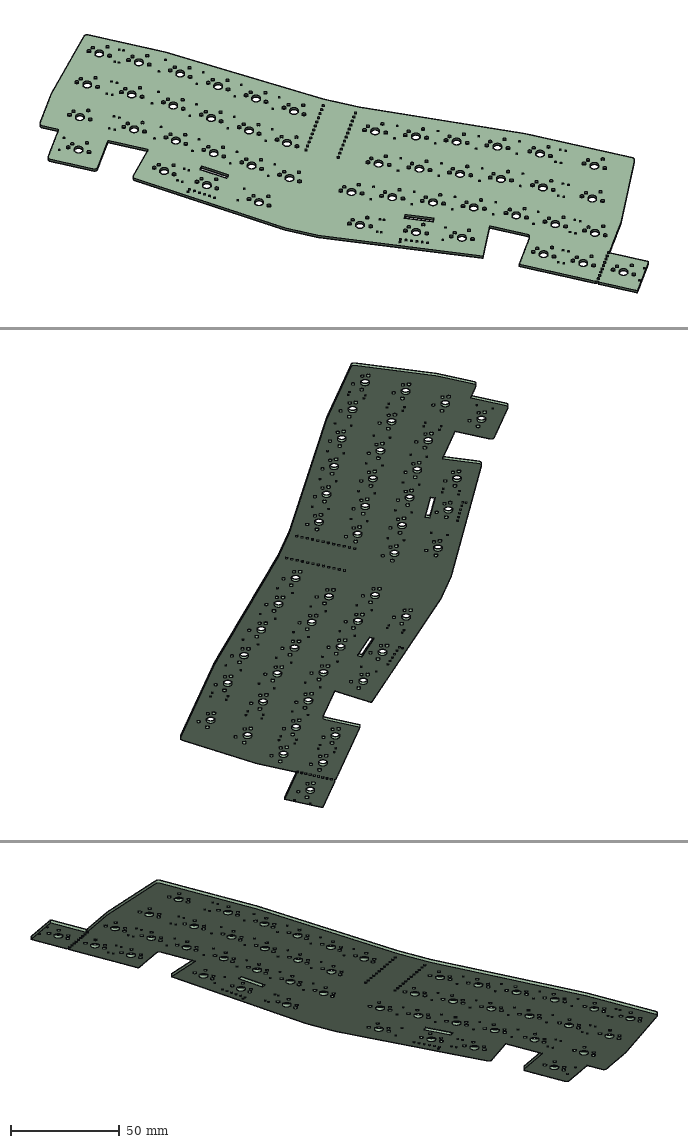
import cadquery as cq
import math

thickness = 1.6
half_length = 146.5
width = 86.7
tilt = math.tan(math.radians(7))
corner_radius = 1.5

top_left_y = 43.5
top_right_y = 42.8
top_left_bend_x = -103.0
top_right_bend_x = 70.0
valley_y = 36.5
valley_left_x = -25.2
valley_right_x = -8.0

side_bend_y = 4.0
right_side_x = 127.5
top_left_corner = (-half_length + (top_left_y - side_bend_y) * tilt, top_left_y)
top_right_corner = (right_side_x - (top_right_y - side_bend_y) * tilt, top_right_y)

tab_top_y = -15.5
tab_bottom_y = -34.0
left_tab_left_x = -137.0
left_tab_right_x = -113.5
right_tab_x = 89.7

belly_mid_x = -12.0
belly_bottom_y = top_left_y - width
belly_half_width = 82.0
belly_foot_half_width = belly_half_width + (tab_top_y - tab_bottom_y) * tilt
belly_flat_half_width = belly_foot_half_width - (tab_bottom_y - belly_bottom_y) / tilt

pitch = 19.0
center_hole = 4.0
side_hole = 1.8
pin_hole = 1.5
side_hole_offset = 5.0
pin_places = [(-3.8, 2.55), (2.55, 5.0)]

diode_hole = 0.8
diode_lead_spacing = 7.5
diode_center_up = 1.08
left_diode = -pitch / 2
right_diode = pitch / 2

left_block_origin = (-93.0, 32.8)
left_block_angle = -7
left_block_rows = [
    (0.0, [(i, left_diode) for i in range(4)]),
    (0.25, [(i, left_diode) for i in range(4)]),
    (0.75, [(i, left_diode) for i in range(4)]),
    (0.875, [(0, 8.0), (1.125, -11.0), (2.5, left_diode)]),
]
right_block_origin = (3.2, 24.5)
right_block_angle = 7
right_block_rows = [
    (0.0, [(i, right_diode) for i in range(4)]),
    (0.25, [(i, right_diode) for i in range(4)]),
    (-0.25, [(i, right_diode) for i in range(4)]),
    (0.125, [(0, 8.5), (1.375, -15.8), (2.5, -8.5)]),
]

straight_rows = [
    (34.0, [(-132.0, 8.2), (-113.0, -8.8)]),
    (14.5, [(-132.0, 10.3), (-110.8, -8.5)]),
    (-5.5, [(-129.8, 15.0), (-103.7, -8.5)]),
    (-24.5, [(-124.8, -8.5)]),
    (33.0, [(80.0, 8.2), (106.0, -15.2)]),
    (13.8, [(87.0, 8.2), (110.8, -13.0)]),
    (-6.0, [(80.0, 9.0), (98.7, 8.0), (117.8, -8.5)]),
    (-25.0, [(98.7, 8.0), (117.8, -8.5), (137.0, 8.5)]),
]

controller_center = (-16.5, 18.8)
controller_column_spacing = 15.5
controller_pins = 12
pin_pitch = 2.55
controller_hole = 1.08

slot_length = 13.5
slot_width = 2.2
slot_up = 8.5
header_pins = 6
header_hole = 0.9
header_down = 5.5
extra_pin_drop = 1.6

perforation_x = 127.2
perforation_hole = 1.08
perforation_gaps = 9


def board_outline():
    """Outline corners, clockwise from the upper left."""
    return [
        top_left_corner,
        (top_left_bend_x, top_left_y),
        (valley_left_x, valley_y),
        (valley_right_x, valley_y),
        (top_right_bend_x, top_right_y),
        top_right_corner,
        (right_side_x, side_bend_y),
        (right_side_x, tab_top_y),
        (half_length, tab_top_y),
        (half_length, tab_bottom_y),
        (right_tab_x, tab_bottom_y),
        (right_tab_x, tab_top_y),
        (belly_mid_x + belly_half_width, tab_top_y),
        (belly_mid_x + belly_foot_half_width, tab_bottom_y),
        (belly_mid_x + belly_flat_half_width, belly_bottom_y),
        (belly_mid_x - belly_flat_half_width, belly_bottom_y),
        (belly_mid_x - belly_foot_half_width, tab_bottom_y),
        (belly_mid_x - belly_half_width, tab_top_y),
        (left_tab_right_x, tab_top_y),
        (left_tab_right_x, tab_bottom_y),
        (left_tab_left_x, tab_bottom_y),
        (left_tab_left_x, tab_top_y),
        (-half_length, tab_top_y),
        (-half_length, side_bend_y),
    ]


def offset_from(place, right, up):
    """Point at (right, up) in the turned frame of a place (x, y, angle)."""
    x, y, angle = place
    c = math.cos(math.radians(angle))
    s = math.sin(math.radians(angle))
    return (x + right * c - up * s, y + right * s + up * c)


def block_keys(origin, angle, rows):
    """Keys of an angled block as (place, diode offset), row by row."""
    keys = []
    for row, (stagger, row_keys) in enumerate(rows):
        for column, diode in row_keys:
            x, y = offset_from((*origin, angle), (stagger + column) * pitch, -row * pitch)
            keys.append(((x, y, angle), diode))
    return keys


def centered(count, spacing):
    """Evenly spaced positions about zero."""
    return [(i - (count - 1) / 2) * spacing for i in range(count)]


def cutter(points, diameter):
    """Through-cutting pins at the given points."""
    return cq.Workplane("XY").pushPoints(points).circle(diameter / 2).extrude(thickness)


left_keys = block_keys(left_block_origin, left_block_angle, left_block_rows)
right_keys = block_keys(right_block_origin, right_block_angle, right_block_rows)
straight_keys = [((x, y, 0), diode) for y, row in straight_rows for x, diode in row]
all_keys = left_keys + right_keys + straight_keys

plate = cq.Workplane("XY").polyline(board_outline()).close().extrude(thickness)
rounded_corners = [
    (-half_length, tab_top_y),
    (left_tab_left_x, tab_bottom_y),
    (left_tab_right_x, tab_bottom_y),
    (belly_mid_x - belly_foot_half_width, tab_bottom_y),
    (right_tab_x, tab_top_y),
    top_left_corner,
    top_right_corner,
]
for corner in rounded_corners:
    near_corner = cq.selectors.NearestToPointSelector((*corner, thickness / 2))
    plate = plate.edges("|Z").edges(near_corner).fillet(corner_radius)

plate = plate.cut(cutter([place[:2] for place, _ in all_keys], center_hole))
side_points = [offset_from(place, side * side_hole_offset, 0) for place, _ in all_keys for side in (-1, 1)]
plate = plate.cut(cutter(side_points, side_hole))
pin_points = [offset_from(place, *pin) for place, _ in all_keys for pin in pin_places]
plate = plate.cut(cutter(pin_points, pin_hole))

diode_points = [
    offset_from(place, diode, diode_center_up + lead)
    for place, diode in all_keys
    for lead in centered(2, diode_lead_spacing)
]
plate = plate.cut(cutter(diode_points, diode_hole))

controller_points = [
    (controller_center[0] + dx, controller_center[1] + dy)
    for dx in centered(2, controller_column_spacing)
    for dy in centered(controller_pins, pin_pitch)
]
plate = plate.cut(cutter(controller_points, controller_hole))

middle_key = -2
for place, _ in (left_keys[middle_key], right_keys[middle_key]):
    slot = (
        cq.Workplane("XY")
        .rect(slot_length, slot_width)
        .extrude(thickness)
        .rotate((0, 0, 0), (0, 0, 1), place[2])
        .translate((*offset_from(place, 0, slot_up), 0))
    )
    plate = plate.cut(slot)
    header_places = [(right, -header_down) for right in centered(header_pins, pin_pitch)]
    header_places.append((header_places[0][0], -header_down - extra_pin_drop))
    plate = plate.cut(cutter([offset_from(place, *spot) for spot in header_places], header_hole))

perforation_pitch = (tab_top_y - tab_bottom_y) / perforation_gaps
perforation_points = [
    (perforation_x, tab_bottom_y + i * perforation_pitch) for i in range(perforation_gaps + 1)
]
plate = plate.cut(cutter(perforation_points, perforation_hole))

result = plate